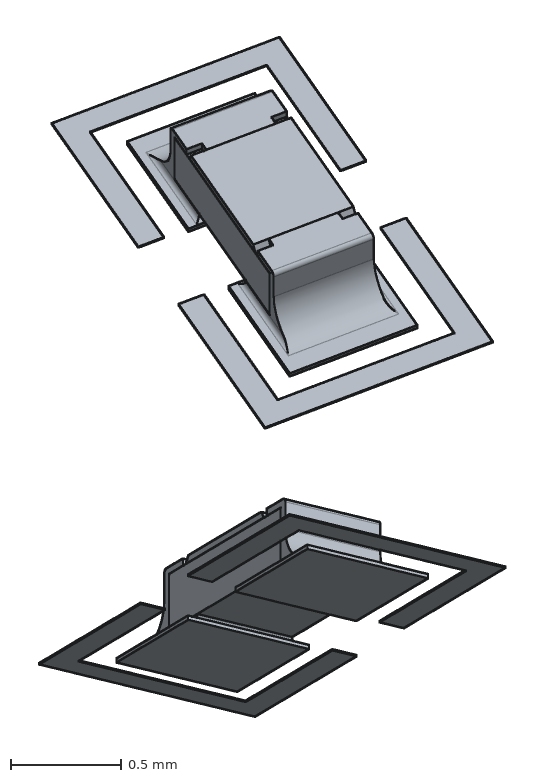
import cadquery as cq
import math


frame_half_length = 1.055
frame_half_width = 0.58
frame_inner_x = 0.928
frame_inner_y = 0.45
frame_thickness = 0.006

land_inner_x = 0.198
land_outer_x = 0.804
land_half_width = 0.325
land_thickness = 0.021

chip_half_length = 0.47
chip_half_width = 0.255
chip_bottom = 0.055
chip_top = 0.333

top_z = 0.37
cover_bottom_half_length = 0.33
cover_top_half_length = 0.308

wall_outer_x = 0.51
top_edge_radius = 0.021
strap_end_x = 0.352
notch_length_y = 0.078
solder_radius = 0.195
foot_radius = 0.025
foot_inner_x = 0.205

foot_half_width = chip_half_width + foot_radius
foot_top = land_thickness + foot_radius
solder_outer_x = wall_outer_x + solder_radius
solder_top = land_thickness + solder_radius
SIN_45 = math.sin(math.pi / 4)


def box(x_range, y_half, z_range):
    """Box symmetric about Y = 0."""
    return (
        cq.Workplane("XY", origin=(0, 0, z_range[0]))
        .moveTo(x_range[0], -y_half)
        .lineTo(x_range[1], -y_half)
        .lineTo(x_range[1], y_half)
        .lineTo(x_range[0], y_half)
        .close()
        .extrude(z_range[1] - z_range[0])
    )


def make_chip():
    return box((-chip_half_length, chip_half_length), chip_half_width, (chip_bottom, chip_top))


def make_cover():
    """Layer on the chip whose two ends slope inwards over its full thickness."""
    return (
        cq.Workplane("XZ")
        .moveTo(-cover_bottom_half_length, chip_top)
        .lineTo(cover_bottom_half_length, chip_top)
        .lineTo(cover_top_half_length, top_z)
        .lineTo(-cover_top_half_length, top_z)
        .close()
        .extrude(chip_half_width, both=True)
    )


def make_frame():
    """C-shaped frame on the +X side, its underside level with the top of the land."""
    z_range = (land_thickness, land_thickness + frame_thickness)
    plate = box((land_inner_x, frame_half_length), frame_half_width, z_range)
    opening = box((land_inner_x, frame_inner_x), frame_inner_y, z_range)
    return plate.cut(opening)


def terminal_side_profile():
    """Terminal in the XZ plane: concave solder slope outside, small concave foot inside."""
    slope_middle = (
        solder_outer_x - solder_radius * SIN_45,
        solder_top - solder_radius * SIN_45,
    )
    foot_middle = (foot_inner_x + foot_radius * SIN_45, foot_top - foot_radius * SIN_45)
    return (
        cq.Workplane("XZ")
        .moveTo(foot_inner_x, land_thickness)
        .lineTo(solder_outer_x, land_thickness)
        .threePointArc(slope_middle, (wall_outer_x, solder_top))
        .lineTo(wall_outer_x, top_z - top_edge_radius)
        .radiusArc((wall_outer_x - top_edge_radius, top_z), -top_edge_radius)
        .lineTo(foot_inner_x + foot_radius, top_z)
        .lineTo(foot_inner_x + foot_radius, foot_top)
        .threePointArc(foot_middle, (foot_inner_x, land_thickness))
        .close()
        .extrude(foot_half_width, both=True)
    )


def terminal_end_profile():
    """Terminal in the YZ plane: chip width, flaring in concave feet onto the land."""
    middle_y = foot_half_width - foot_radius * SIN_45
    middle_z = foot_top - foot_radius * SIN_45
    return (
        cq.Workplane("YZ")
        .moveTo(-foot_half_width, land_thickness)
        .lineTo(foot_half_width, land_thickness)
        .threePointArc((middle_y, middle_z), (chip_half_width, foot_top))
        .lineTo(chip_half_width, top_z)
        .lineTo(-chip_half_width, top_z)
        .lineTo(-chip_half_width, foot_top)
        .threePointArc((-middle_y, middle_z), (-foot_half_width, land_thickness))
        .close()
        .extrude(solder_outer_x)
    )


def make_terminal():
    """Terminal on the +X side: land, solder and the strap wrapped over the chip end."""
    wrap = terminal_side_profile().intersect(terminal_end_profile())
    wrap = wrap.cut(make_chip()).cut(make_cover())

    notch_band = box((0, strap_end_x), chip_half_width, (chip_top, top_z))
    tongue = box((0, strap_end_x), chip_half_width - notch_length_y, (chip_top, top_z))
    wrap = wrap.cut(notch_band.cut(tongue))

    land = box((land_inner_x, land_outer_x), land_half_width, (0, land_thickness))
    return land.union(wrap)


chip = make_chip()
cover = make_cover()
terminals = []
frames = []
for turn in (0, 180):
    terminals.append(make_terminal().rotate((0, 0, 0), (0, 0, 1), turn))
    frames.append(make_frame().rotate((0, 0, 0), (0, 0, 1), turn))

result = cq.Compound.makeCompound(
    [
        chip.val(),
        cover.val(),
        *[solid for terminal in terminals for solid in terminal.solids().vals()],
        *[solid for frame in frames for solid in frame.solids().vals()],
    ]
)